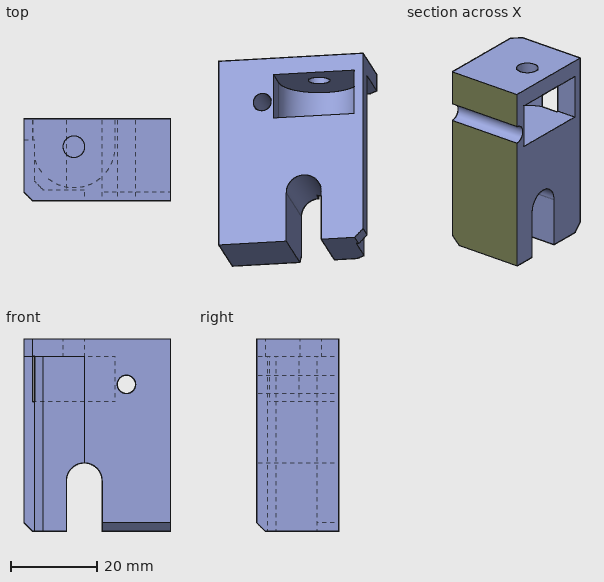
import cadquery as cq

length = 34.0
width = 19.0
height = 44.5

lid_thickness = 4.0
lid_bottom = height - lid_thickness
corner_chamfer = 2.0

setback = 2.5
front_pad_start = 14.0
rear_pad_start = 14.0
foot_chamfer = 2.0

arch_diameter = 8.2
arch_center_x = front_pad_start
arch_center_z = 11.7

pocket_radius = 9.5
pocket_depth = 10.5
pocket_center_x = 11.6
pocket_center_y = 12.5

lid_hole_diameter = 5.0
cross_hole_diameter = 4.2
cross_hole_x = 23.75
cross_hole_z = height - 10.5


def box(x_start, y_start, x_end, y_end, z_start, z_end):
    """Axis-aligned block between two corners."""
    size = (x_end - x_start, y_end - y_start, z_end - z_start)
    return cq.Workplane("XY").box(*size, centered=False).translate((x_start, y_start, z_start))


def chamfered_block(inset, z_start, z_end):
    """Block inset from the front and left, with its front left vertical edge chamfered."""
    block = box(inset, inset, length, width, z_start, z_end)
    return block.edges("|Z and <X and <Y").chamfer(corner_chamfer)


def front_pad():
    """Pad filling the front setback, with a chamfered foot."""
    pad = box(front_pad_start, 0, length, setback, 0, lid_bottom)
    return pad.faces("<Z").edges("<Y").chamfer(foot_chamfer)


def rear_pad():
    """Pad filling the left setback at the rear, with a chamfered foot."""
    pad = box(0, rear_pad_start, setback, width, 0, lid_bottom)
    return pad.faces("<Z").edges("<X").chamfer(foot_chamfer)


def pocket():
    """Half-round pocket with straight sides that run out through the rear face."""
    floor = lid_bottom - pocket_depth
    left = pocket_center_x - pocket_radius
    right = pocket_center_x + pocket_radius
    return (
        cq.Workplane("XY", origin=(0, 0, floor))
        .moveTo(left, width)
        .lineTo(left, pocket_center_y)
        .threePointArc((pocket_center_x, pocket_center_y - pocket_radius), (right, pocket_center_y))
        .lineTo(right, width)
        .close()
        .extrude(pocket_depth)
    )


def hole_along_y(diameter, x, z):
    """Cylinder through the full width."""
    return cq.Workplane("XZ").center(x, z).circle(diameter / 2).extrude(-width)


def arch_passage():
    """Round-topped passage open at the bottom."""
    radius = arch_diameter / 2
    opening = box(arch_center_x - radius, 0, arch_center_x + radius, width, 0, arch_center_z)
    return opening.union(hole_along_y(arch_diameter, arch_center_x, arch_center_z))


def lid_hole():
    """Vertical hole through the lid into the pocket."""
    return (
        cq.Workplane("XY", origin=(pocket_center_x, pocket_center_y, lid_bottom))
        .circle(lid_hole_diameter / 2)
        .extrude(lid_thickness)
    )


lid = chamfered_block(0, lid_bottom, height)
body = chamfered_block(setback, 0, lid_bottom)

result = (
    body.union(front_pad())
    .union(rear_pad())
    .union(lid)
    .cut(pocket())
    .cut(arch_passage())
    .cut(lid_hole())
    .cut(hole_along_y(cross_hole_diameter, cross_hole_x, cross_hole_z))
)